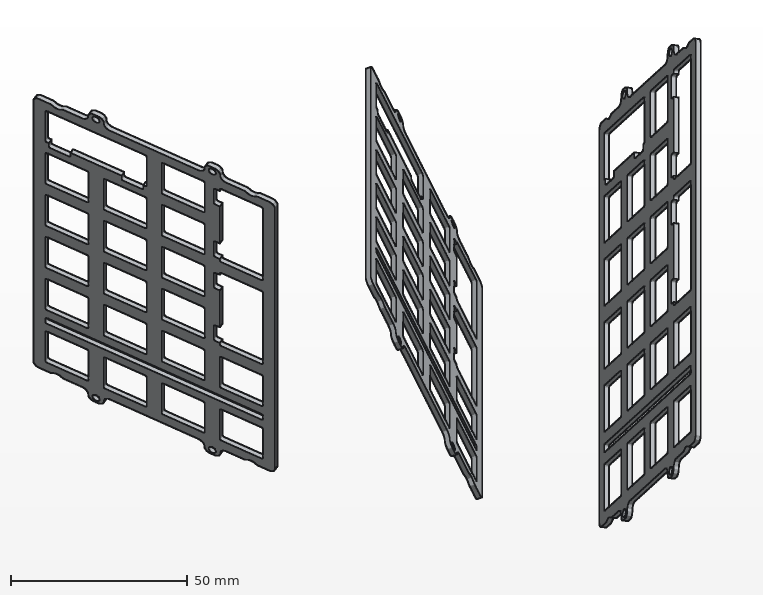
import cadquery as cq
import math

plate_width = 79.1
plate_height = 121.9
thickness = 1.5
corner_radius = 2.0

top_row_z = 50.0
fifth_row_z = -26.2
bottom_row_z = -top_row_z
pitch = (top_row_z - fifth_row_z) / 4
column_x = [(column - 1.5) * pitch for column in range(4)]
row_z = [top_row_z - row * pitch for row in range(5)] + [bottom_row_z]
key_size = 14.0
opening_radius = 0.5
double_key_length = key_size + pitch

notch_spacing = 23.8
notch_width = 7.0
notch_depth = 2.0

slot_z = -38.1
slot_length = 3 * pitch + key_size
slot_height = 2.5

overall_height = 130.1
lug_x = pitch
lug_width = 5.2
lug_corner_radius = 2.0
lug_root_radius = 2.0
screw_hole_diameter = 2.3
screw_hole_z = overall_height / 2 - lug_corner_radius

dip_x = 31.7
dip_radius = 2.6
dip_depth = 0.8
dip_mouth_radius = 1.5


def block(center_x, center_z, width, height):
    """Rectangular block through the plate thickness."""
    return cq.Workplane("XY").box(width, thickness, height).translate((center_x, 0, center_z))


def cylinder(center_x, center_z, radius):
    """Round bar through the plate thickness."""
    back_plane = cq.Workplane("XZ", origin=(center_x, thickness / 2, center_z))
    return back_plane.circle(radius).extrude(thickness)


def opening(center_x, center_z, width, height):
    """Rectangular opening with rounded corners."""
    return block(center_x, center_z, width, height).edges("|Y").fillet(opening_radius)


def blend_edges(plate, x_values, z, radius):
    """Round the thickness-wise edges that lie at the given X values and height."""
    margin = 0.1
    around_edges = cq.selectors.BoxSelector(
        (min(x_values) - margin, -thickness, z - margin),
        (max(x_values) + margin, thickness, z + margin),
    )
    return plate.edges("|Y").edges(around_edges).fillet(radius)


def add_lug(plate, center_x, end):
    """Rounded lug with its root blended into the edge; end is 1 for top, -1 for bottom."""
    edge_z = end * plate_height / 2
    lug_height = (overall_height - plate_height) / 2
    lug = block(center_x, edge_z, lug_width, 2 * lug_height).edges("|Y").fillet(lug_corner_radius)
    root_x = (center_x - lug_width / 2, center_x + lug_width / 2)
    plate = blend_edges(plate.union(lug), root_x, edge_z, lug_root_radius)
    return plate.cut(cylinder(center_x, end * screw_hole_z, screw_hole_diameter / 2))


def cut_dip(plate, center_x, end):
    """Shallow round dip with a blended mouth; end is 1 for top, -1 for bottom."""
    edge_z = end * plate_height / 2
    height_above_edge = dip_radius - dip_depth
    half_width = math.sqrt(dip_radius**2 - height_above_edge**2)
    plate = plate.cut(cylinder(center_x, edge_z + end * height_above_edge, dip_radius))
    mouth_x = (center_x - half_width, center_x + half_width)
    return blend_edges(plate, mouth_x, edge_z, dip_mouth_radius)


def wide_key_opening(center_x, center_z):
    """Double width opening with two notches in its lower edge."""
    cutter = opening(center_x, center_z, double_key_length, key_size)
    notch_z = center_z - key_size / 2
    for side in (-1, 1):
        notch_x = center_x + side * notch_spacing / 2
        cutter = cutter.union(opening(notch_x, notch_z, notch_width, 2 * notch_depth))
    return cutter


def tall_key_opening(center_x, center_z):
    """Double height opening: the wide one turned so that its notches face -X."""
    turned = wide_key_opening(0, 0).rotate((0, 0, 0), (0, 1, 0), 90)
    return turned.translate((center_x, 0, center_z))


result = block(0, 0, plate_width, plate_height).edges("|Y").fillet(corner_radius)
for end in (-1, 1):
    for side in (-1, 1):
        result = add_lug(result, side * lug_x, end)
        result = cut_dip(result, side * dip_x, end)

wide_key_cells = [(0, 0), (1, 0)]
tall_key_cells = [(3, 0), (3, 1), (3, 2), (3, 3)]
result = result.cut(wide_key_opening((column_x[0] + column_x[1]) / 2, row_z[0]))
for upper_row in (0, 2):
    middle_z = (row_z[upper_row] + row_z[upper_row + 1]) / 2
    result = result.cut(tall_key_opening(column_x[3], middle_z))

for column, x in enumerate(column_x):
    for row, z in enumerate(row_z):
        if (column, row) not in wide_key_cells + tall_key_cells:
            result = result.cut(opening(x, z, key_size, key_size))

result = result.cut(opening(0, slot_z, slot_length, slot_height))